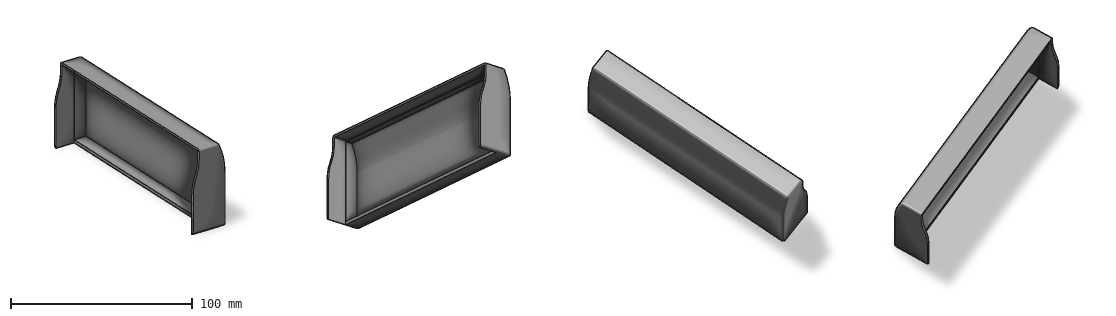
import cadquery as cq
import math

length = 134.0
depth = 22.0
height = 51.5
edge_radius = 1.5
top_back_radius = 2.0

back_arc_start = 32.8
back_arc_radius = 40.0

rim_setback = 4.0
s_curve_bottom = 24.3
s_curve_top = 45.8

end_wall = 1.7
floor_wall = 2.0
roof_wall = 2.0
back_wall = 2.0

cheek_wall = 1.5
lip_wall = 1.3
step_setback = 12.0


def back_inset(z, radius):
    """Distance the upper back arc has curved forward at height z."""
    return radius - math.sqrt(radius**2 - (z - back_arc_start) ** 2)


def trace_back(profile, y_back, z_top, radius):
    """Continue a profile up the straight back and around the arc to z_top."""
    z_middle = (back_arc_start + z_top) / 2
    return profile.lineTo(y_back, back_arc_start).threePointArc(
        (y_back - back_inset(z_middle, radius), z_middle),
        (y_back - back_inset(z_top, radius), z_top),
    )


def side_plane(x):
    """Sketch plane across the part whose axes are Y and Z."""
    return cq.Workplane("YZ", origin=(x, 0, 0))


def outer_body():
    """Solid envelope with a plain front and rounded outside edges."""
    profile = side_plane(0).lineTo(depth, 0)
    profile = trace_back(profile, depth, height, back_arc_radius)
    body = profile.lineTo(0, height).close().extrude(length)
    body = body.edges("|X").edges(">Z").edges(">Y").fillet(top_back_radius)
    end_edges = body.faces("<X or >X").edges("not <Y")
    bottom_back_edge = body.faces("<Z").edges(">Y")
    return end_edges.add(bottom_back_edge).fillet(edge_radius)


def front_trim():
    """Material removed ahead of the S-curve, made of two equal tangent arcs."""
    half_rise = (s_curve_top - s_curve_bottom) / 2
    half_run = rim_setback / 2
    middle = (half_run, s_curve_bottom + half_rise)
    return (
        side_plane(0)
        .moveTo(0, 0)
        .lineTo(0, s_curve_bottom)
        .tangentArcPoint(middle, relative=False)
        .tangentArcPoint((rim_setback, s_curve_top), relative=False)
        .lineTo(rim_setback, height)
        .lineTo(-rim_setback, height)
        .lineTo(-rim_setback, 0)
        .close()
        .extrude(length)
    )


def cavity():
    """Open-front pocket whose back follows the outside at constant thickness."""
    roof = height - roof_wall
    profile = side_plane(end_wall).moveTo(0, floor_wall).lineTo(depth - back_wall, floor_wall)
    profile = trace_back(profile, depth - back_wall, roof, back_arc_radius - back_wall)
    return profile.lineTo(0, roof).close().extrude(length - 2 * end_wall)


def front_step():
    """Clears the floor and thins the cheeks and roof lip near the front."""
    return cq.Workplane("XY").box(
        length - 2 * cheek_wall, step_setback, height - lip_wall, centered=False
    ).translate((cheek_wall, 0, 0))


result = outer_body().cut(front_trim()).cut(cavity()).cut(front_step())